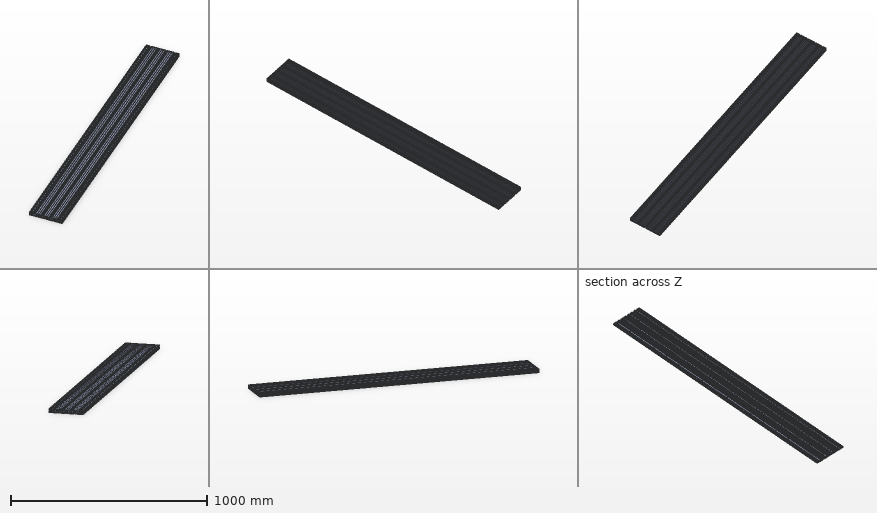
import cadquery as cq

length = 1500.0
width = 180.0
height = 18.0

slot_pitch = 22.0
slot_opening = 8.0
slot_lip = 3.8
slot_head_width = 15.0
slot_shoulder_depth = 5.0
slot_floor_width = 10.0
slot_depth = 14.2
top_slot_steps = (-3, -1, 1, 3)
bottom_slot_steps = (-2, 0, 2)

side_opening = 6.0
side_lip = 3.0
side_head_width = 12.0
side_shoulder_depth = 6.0
side_floor_width = 8.0
side_depth = 10.0


def slot_cutter(opening, lip, head_width, shoulder_depth, floor_width, depth):
    """Slot along Y, open at Z = 0 and sunk toward -Z, with a tapered head."""
    right_side = [
        (opening / 2, 0),
        (opening / 2, -lip),
        (head_width / 2, -lip),
        (head_width / 2, -shoulder_depth),
        (floor_width / 2, -depth),
    ]
    left_side = [(-x, z) for x, z in reversed(right_side)]
    return (
        cq.Workplane("XZ")
        .polyline(right_side + left_side)
        .close()
        .extrude(length / 2, both=True)
    )


face_slot = slot_cutter(
    slot_opening, slot_lip, slot_head_width, slot_shoulder_depth, slot_floor_width, slot_depth
)
side_slot = slot_cutter(
    side_opening, side_lip, side_head_width, side_shoulder_depth, side_floor_width, side_depth
)

result = cq.Workplane("XY").box(width, length, height)

for step in top_slot_steps:
    result = result.cut(face_slot.translate((step * slot_pitch, 0, height / 2)))

bottom_slot = face_slot.rotate((0, 0, 0), (0, 1, 0), 180)
for step in bottom_slot_steps:
    result = result.cut(bottom_slot.translate((step * slot_pitch, 0, -height / 2)))

for side in (-1, 1):
    outward_slot = side_slot.rotate((0, 0, 0), (0, 1, 0), side * 90)
    result = result.cut(outward_slot.translate((side * width / 2, 0, 0)))